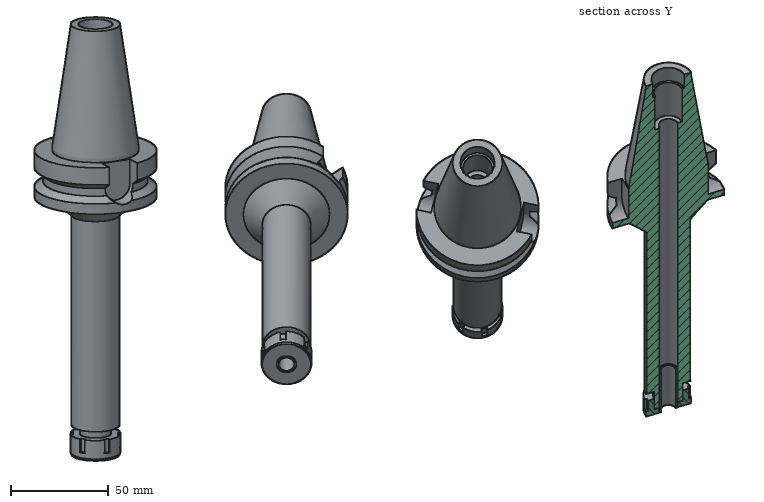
import cadquery as cq

TOTAL_LENGTH = 230.5

TAPER_LENGTH = 65.5
TAPER_RATIO = 7 / 24
GAUGE_RADIUS = 44.5 / 2
COLLAR_HEIGHT = 2.0

FLANGE_RADIUS = 63.0 / 2
FLANGE_HEIGHT = 24.9
UPPER_RIM_HEIGHT = 9.2
LOWER_RIM_HEIGHT = 5.5
GROOVE_RADIUS = 27.0
UPPER_FLANK_HEIGHT = 3.2
LOWER_FLANK_HEIGHT = 2.8
KEYWAY_WIDTH = 16.1
KEYWAY_FLOOR = 22.5
KEYWAY_BOTTOM_OFFSET = 4.1

SHOULDER_RADIUS = 22.1
SHAFT_RADIUS = 12.5
SHAFT_BOTTOM = 15.7
NECK_RADIUS = 8.0

MOUTH_RADIUS = 8.8
MOUTH_DEPTH = 9.2
THREAD_RADIUS = 15.0 / 2
THREAD_DEPTH = 32.3
PASSAGE_RADIUS = 5.0

NUT_RADIUS = 13.0
NUT_HEIGHT = 11.0
NUT_CHAMFER_HEIGHT = 1.2
NUT_CHAMFER_WIDTH = 0.5
NUT_LIP_HEIGHT = 3.5
SLOT_COUNT = 6
SLOT_WIDTH = 3.0
SLOT_HEIGHT = 7.1
SLOT_DEPTH = 1.4

COLLET_RADIUS = PASSAGE_RADIUS
COLLET_BORE_RADIUS = 8.0 / 2
COLLET_LENGTH = 27.6

gauge_z = TOTAL_LENGTH - TAPER_LENGTH
flange_top = gauge_z - COLLAR_HEIGHT
flange_bottom = flange_top - FLANGE_HEIGHT
shaft_top = flange_bottom - (SHOULDER_RADIUS - SHAFT_RADIUS)
small_end_radius = GAUGE_RADIUS - TAPER_LENGTH * TAPER_RATIO / 2


def cylinder(radius, bottom, top):
    """Upright cylinder on the tool axis between two heights."""
    return cq.Workplane("XY").workplane(offset=bottom).circle(radius).extrude(top - bottom)


def holder_outside():
    """Turned outside: nose, shaft, shoulder, grooved flange and taper."""
    lower_rim_top = flange_bottom + LOWER_RIM_HEIGHT
    upper_rim_bottom = flange_top - UPPER_RIM_HEIGHT
    profile = [
        (0, NUT_LIP_HEIGHT),
        (NECK_RADIUS, NUT_LIP_HEIGHT),
        (NECK_RADIUS, SHAFT_BOTTOM),
        (SHAFT_RADIUS, SHAFT_BOTTOM),
        (SHAFT_RADIUS, shaft_top),
        (SHOULDER_RADIUS, flange_bottom),
        (FLANGE_RADIUS, flange_bottom),
        (FLANGE_RADIUS, lower_rim_top),
        (GROOVE_RADIUS, lower_rim_top + LOWER_FLANK_HEIGHT),
        (GROOVE_RADIUS, upper_rim_bottom - UPPER_FLANK_HEIGHT),
        (FLANGE_RADIUS, upper_rim_bottom),
        (FLANGE_RADIUS, flange_top),
        (GAUGE_RADIUS, flange_top),
        (GAUGE_RADIUS, gauge_z),
        (small_end_radius, TOTAL_LENGTH),
        (0, TOTAL_LENGTH),
    ]
    return cq.Workplane("YZ").polyline(profile).close().revolve(360, (0, 0), (0, 1))


def keyway(side):
    """Drive keyway with a round lower end, cut in from the +X (side 1) or -X (side -1) rim."""
    round_radius = KEYWAY_WIDTH / 2
    round_z = flange_bottom + KEYWAY_BOTTOM_OFFSET + round_radius
    return (
        cq.Workplane("YZ", origin=(side * KEYWAY_FLOOR, 0, 0))
        .moveTo(-round_radius, flange_top)
        .lineTo(-round_radius, round_z)
        .threePointArc((0, round_z - round_radius), (round_radius, round_z))
        .lineTo(round_radius, flange_top)
        .close()
        .extrude(side * FLANGE_RADIUS)
    )


def make_holder():
    """Taper shank, flange and shaft in one piece, bored through in steps."""
    body = holder_outside()
    for side in (-1, 1):
        body = body.cut(keyway(side))
    body = body.cut(cylinder(PASSAGE_RADIUS, NUT_LIP_HEIGHT, TOTAL_LENGTH))
    body = body.cut(cylinder(THREAD_RADIUS, TOTAL_LENGTH - THREAD_DEPTH, TOTAL_LENGTH))
    return body.cut(cylinder(MOUTH_RADIUS, TOTAL_LENGTH - MOUTH_DEPTH, TOTAL_LENGTH))


def make_nut():
    """Slotted clamping nut that takes the holder nose from above and the collet below it."""
    profile = [
        (COLLET_RADIUS, 0),
        (NUT_RADIUS - NUT_CHAMFER_WIDTH, 0),
        (NUT_RADIUS, NUT_CHAMFER_HEIGHT),
        (NUT_RADIUS, NUT_HEIGHT),
        (NECK_RADIUS, NUT_HEIGHT),
        (NECK_RADIUS, NUT_LIP_HEIGHT),
        (COLLET_RADIUS, NUT_LIP_HEIGHT),
    ]
    nut = cq.Workplane("YZ").polyline(profile).close().revolve(360, (0, 0), (0, 1))
    slot_cutter = cq.Workplane("XY", origin=(NUT_RADIUS, 0, NUT_HEIGHT - SLOT_HEIGHT / 2))
    slot_cutter = slot_cutter.box(2 * SLOT_DEPTH, SLOT_WIDTH, SLOT_HEIGHT)
    for index in range(SLOT_COUNT):
        angle = index * 360 / SLOT_COUNT
        nut = nut.cut(slot_cutter.rotate((0, 0, 0), (0, 0, 1), angle))
    return nut


def make_collet():
    """Plain sleeve that fills the lower end of the holder bore."""
    sleeve = cylinder(COLLET_RADIUS, 0, COLLET_LENGTH)
    return sleeve.cut(cylinder(COLLET_BORE_RADIUS, 0, COLLET_LENGTH))


holder = make_holder()
nut = make_nut()
collet = make_collet()

result = cq.Compound.makeCompound([holder.val(), nut.val(), collet.val()])